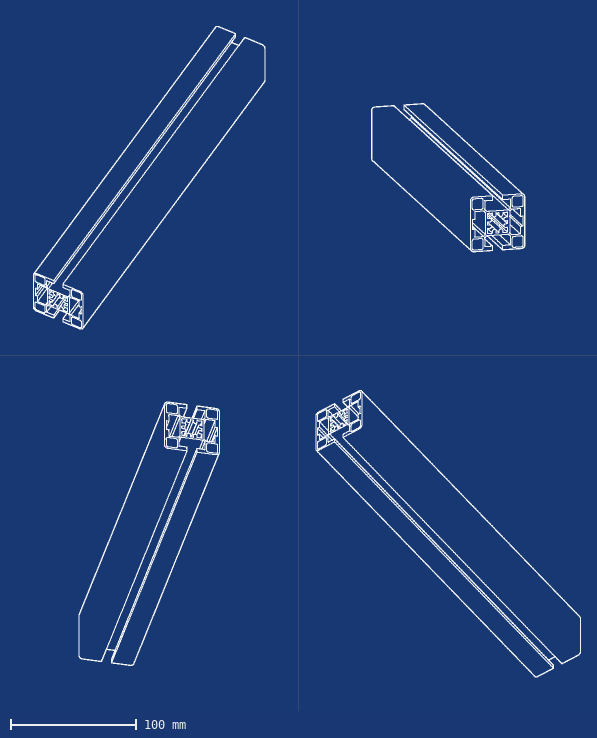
import cadquery as cq

SIZE = 45.0
LENGTH = 300.0
OUTER_RADIUS = 3.0

TUBE_WALL = 1.5

SLOT_MOUTH = 8.2
SLOT_WIDTH = 21.0
LIP_THICKNESS = 3.7
SIDE_SKIN = 1.8
SLOT_CHAMFER = 1.5

CORE_SIZE = 20.0
CORE_WALL = 1.8
RIB_WIDTH = 3.0
RIB_OFFSET = 2.7
RIB_TIP = 5.1

HALF = SIZE / 2
SLOT_HALF = SLOT_WIDTH / 2
LIP_INNER = HALF - LIP_THICKNESS
CORE_HALF = CORE_SIZE / 2
CORE_INNER = CORE_HALF - CORE_WALL
QUARTER_TURNS = (0, 90, 180, 270)


def prism(x_min, x_max, z_min, z_max):
    """Full-length rectangular bar with the given X and Z limits."""
    bar = cq.Workplane("XY").box(x_max - x_min, LENGTH, z_max - z_min)
    return bar.translate(((x_min + x_max) / 2, 0, (z_min + z_max) / 2))


def turned(body, angle):
    """Body rotated about the long axis of the extrusion."""
    return body.rotate((0, 0, 0), (0, 1, 0), angle)


def t_slot(mouth_top):
    """Upward T-slot with a chamfered floor; its mouth reaches up to the given height."""
    chamber = prism(-SLOT_HALF, SLOT_HALF, CORE_HALF, LIP_INNER)
    chamber = chamber.faces("<Z").edges("|Y").chamfer(SLOT_CHAMFER)
    mouth = prism(-SLOT_MOUTH / 2, SLOT_MOUTH / 2, CORE_HALF, mouth_top)
    return chamber.union(mouth)


def corner_cavity():
    """Square void of one corner tube, its corners rounded to follow the outer corner."""
    inner = SLOT_HALF + TUBE_WALL
    outer = HALF - TUBE_WALL
    void = prism(inner, outer, inner, outer)
    return void.edges("|Y").fillet(OUTER_RADIUS - TUBE_WALL)


def core_rib(x_center):
    """Rib hanging from the upper core wall, with a half-round nose."""
    radius = RIB_WIDTH / 2
    nose_z = RIB_TIP + radius
    stem = prism(x_center - radius, x_center + radius, nose_z, CORE_INNER)
    nose = cq.Workplane("XZ").center(x_center, nose_z).circle(radius).extrude(LENGTH / 2, both=True)
    return stem.union(nose)


def core_cavity():
    """Square void of the core, less the eight ribs that reach into it."""
    cavity = prism(-CORE_INNER, CORE_INNER, -CORE_INNER, CORE_INNER)
    for angle in QUARTER_TURNS:
        for side in (-1, 1):
            cavity = cavity.cut(turned(core_rib(side * RIB_OFFSET), angle))
    return cavity


def profile_bar():
    """Complete extruded profile."""
    bar = prism(-HALF, HALF, -HALF, HALF).edges("|Y").fillet(OUTER_RADIUS)
    for angle in (0, 180):
        bar = bar.cut(turned(t_slot(HALF), angle))
    for angle in (90, 270):
        bar = bar.cut(turned(t_slot(HALF - SIDE_SKIN), angle))
    for angle in QUARTER_TURNS:
        bar = bar.cut(turned(corner_cavity(), angle))
    return bar.cut(core_cavity())


result = profile_bar()